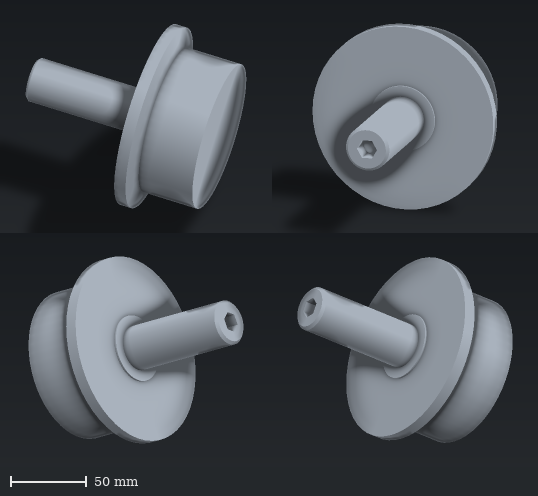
import cadquery as cq
import math

stud_diameter = 30.0
stud_length = 80.0
stud_chamfer = 1.9

collar_diameter = 44.5
collar_width = 1.5

flange_diameter = 125.0
flange_rim_width = 8.0
flange_slope_angle = 20.0
tread_diameter = 100.0
wheel_width = 50.5

socket_across_flats = 12.0
socket_depth = 12.0
socket_point_angle = 120.0

collar_start = stud_length
wheel_start = collar_start + collar_width
wheel_end = wheel_start + wheel_width
slope_start = wheel_start + flange_rim_width
flange_height = (flange_diameter - tread_diameter) / 2
slope_end = slope_start + flange_height * math.tan(math.radians(flange_slope_angle))


def make_roller():
    """Stud, collar and flanged wheel as one body turned about X."""
    stud_radius = stud_diameter / 2
    profile = [
        (0, 0),
        (0, stud_radius - stud_chamfer),
        (stud_chamfer, stud_radius),
        (collar_start, stud_radius),
        (collar_start, collar_diameter / 2),
        (wheel_start, collar_diameter / 2),
        (wheel_start, flange_diameter / 2),
        (slope_start, flange_diameter / 2),
        (slope_end, tread_diameter / 2),
        (wheel_end, tread_diameter / 2),
        (wheel_end, 0),
    ]
    return cq.Workplane("XY").polyline(profile).close().revolve(360, (0, 0, 0), (1, 0, 0))


def make_socket():
    """Hexagon socket with corners along Y and a conical bottom."""
    across_corners = socket_across_flats / math.cos(math.radians(30))
    hexagon = cq.Workplane("YZ").polygon(6, across_corners).extrude(socket_depth)
    cone_radius = socket_across_flats / 2
    cone_height = cone_radius / math.tan(math.radians(socket_point_angle / 2))
    point = cq.Solid.makeCone(
        cone_radius, 0, cone_height, cq.Vector(socket_depth, 0, 0), cq.Vector(1, 0, 0)
    )
    return hexagon.union(cq.Workplane(obj=point))


result = make_roller().cut(make_socket())